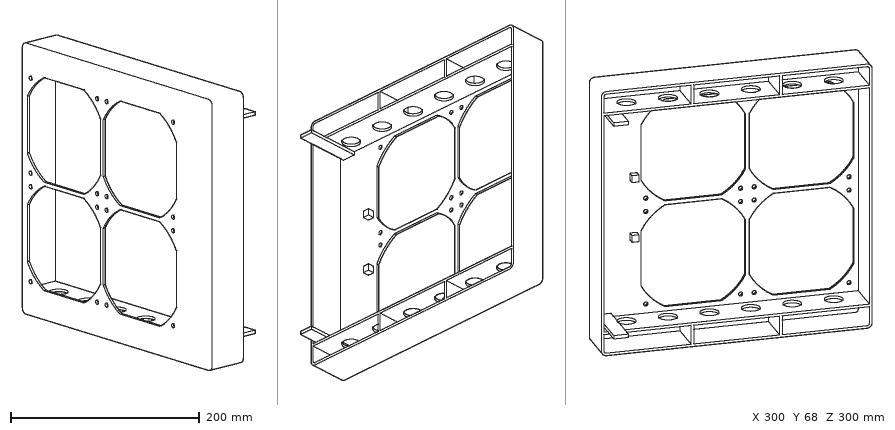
import cadquery as cq

side = 300.0
depth = 45.0
corner_radius = 6.0
wall = 3.0

fan_pitch = 120.0
fan_opening = 115.5
fan_opening_radius = 65.7
fan_group_x = -24.3
fan_screw_spacing = 105.0
fan_screw_diameter = 4.5

shelf_z = 122.7
shelf_thickness = 3.0
shelf_hole_count = 6
shelf_hole_pitch = 46.0
shelf_hole_diameter = 20.0
shelf_hole_row_y = 20.0

cell_count = 3

tongue_left_x = 127.0
tongue_width = 16.2
tongue_thickness = 4.0
tongue_reach = 23.0

block_left_x = 98.0
block_size = 7.8
block_height = 7.8
block_outer_z = 37.8

inner_side = side - 2 * wall
inner_half = inner_side / 2
inner_depth = depth - wall


def box(x_min, y_min, z_min, x_size, y_size, z_size):
    """Box given by its lowest corner and its sizes."""
    return cq.Workplane("XY").box(x_size, y_size, z_size, centered=False).translate((x_min, y_min, z_min))


def cylinder_y(x, z, radius, length):
    """Cylinder that starts at the front face and runs back along +Y."""
    return cq.Workplane("XZ").center(x, z).circle(radius).extrude(-length)


def tray():
    body = box(-side / 2, 0, -side / 2, side, depth, side).edges("|Y").fillet(corner_radius)
    cavity = box(-inner_half, wall, -inner_half, inner_side, inner_depth, inner_side)
    cavity = cavity.edges("|Y").fillet(corner_radius - wall)
    return body.cut(cavity)


def fan_cutout(x, z):
    """One opening through the front plate with its four screw holes."""
    half = fan_opening / 2
    square = box(x - half, 0, z - half, fan_opening, wall, fan_opening)
    cutout = square.intersect(cylinder_y(x, z, fan_opening_radius, wall))
    for dx in (-fan_screw_spacing / 2, fan_screw_spacing / 2):
        for dz in (-fan_screw_spacing / 2, fan_screw_spacing / 2):
            cutout = cutout.union(cylinder_y(x + dx, z + dz, fan_screw_diameter / 2, wall))
    return cutout


def bottom_shelf():
    """Pierced shelf, the ribs under it and the tongue on top of it."""
    shelf_bottom = -shelf_z - shelf_thickness
    shelf = box(-inner_half, wall, shelf_bottom, inner_side, inner_depth, shelf_thickness)
    holes = (
        cq.Workplane("XY", origin=(0, shelf_hole_row_y, shelf_bottom))
        .rarray(shelf_hole_pitch, 3, shelf_hole_count, 1)
        .circle(shelf_hole_diameter / 2)
        .extrude(shelf_thickness)
    )
    shelf = shelf.cut(holes)
    for i in range(1, cell_count):
        rib_x = -inner_half + i * inner_side / cell_count
        rib = box(rib_x - wall / 2, wall, -inner_half, wall, inner_depth, shelf_bottom + inner_half)
        shelf = shelf.union(rib)
    tongue_length = inner_depth + tongue_reach
    tongue = box(tongue_left_x, wall, -shelf_z, tongue_width, tongue_length, tongue_thickness)
    return shelf.union(tongue)


def block(z_min):
    return box(block_left_x, wall, z_min, block_size, block_height, block_size)


result = tray()

for fan_x in (fan_group_x - fan_pitch / 2, fan_group_x + fan_pitch / 2):
    for fan_z in (-fan_pitch / 2, fan_pitch / 2):
        result = result.cut(fan_cutout(fan_x, fan_z))

lower_shelf = bottom_shelf()
upper_shelf = lower_shelf.mirror("XY")
result = result.union(lower_shelf).union(upper_shelf)

for block_z in (-block_outer_z, block_outer_z - block_size):
    result = result.union(block(block_z))